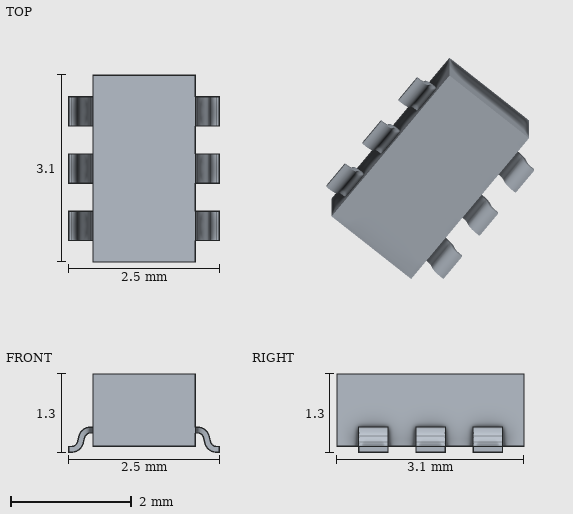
import cadquery as cq
import math

HOUSING_WIDTH = 1.7
HOUSING_LENGTH = 3.1
HOUSING_HEIGHT = 1.2
STANDOFF = 0.1

LEAD_SPAN = 2.5
LEADS_PER_SIDE = 3
LEAD_PITCH = 0.95
LEAD_WIDTH = 0.49
LEAD_THICKNESS = 0.1
LEAD_TOP = 0.42
FOOT_FLAT = 0.05
INNER_RADIUS = 0.1
BEND_ANGLE = math.radians(76)

OUTER_RADIUS = INNER_RADIUS + LEAD_THICKNESS

LEAD_RISE = LEAD_TOP - LEAD_THICKNESS
BEND_RADII = INNER_RADIUS + OUTER_RADIUS
SLOPE_RISE = LEAD_RISE - BEND_RADII * (1 - math.cos(BEND_ANGLE))
LEAD_RUN = BEND_RADII * math.sin(BEND_ANGLE) + SLOPE_RISE / math.tan(BEND_ANGLE)

TOE_X = -LEAD_SPAN / 2
LOWER_BEND_X = TOE_X + FOOT_FLAT
UPPER_BEND_X = LOWER_BEND_X + LEAD_RUN
LOWER_BEND_Z = OUTER_RADIUS
UPPER_BEND_Z = LEAD_TOP - OUTER_RADIUS


def lower_bend_point(radius, angle):
    """Point on the lower bend, angle measured from its start at the foot."""
    return (LOWER_BEND_X + radius * math.sin(angle), LOWER_BEND_Z - radius * math.cos(angle))


def upper_bend_point(radius, angle):
    """Point on the upper bend, angle measured from its end at the shoulder."""
    return (UPPER_BEND_X - radius * math.sin(angle), UPPER_BEND_Z + radius * math.cos(angle))


def make_housing():
    return (
        cq.Workplane("XY")
        .box(HOUSING_WIDTH, HOUSING_LENGTH, HOUSING_HEIGHT, centered=(True, True, False))
        .translate((0, 0, STANDOFF))
    )


def make_left_lead():
    """Lead on the -X side, centred on Y = 0, ending flush on the housing wall."""
    half_angle = BEND_ANGLE / 2
    wall_x = -HOUSING_WIDTH / 2
    return (
        cq.Workplane("XZ")
        .moveTo(TOE_X, 0)
        .lineTo(*lower_bend_point(OUTER_RADIUS, 0))
        .threePointArc(
            lower_bend_point(OUTER_RADIUS, half_angle), lower_bend_point(OUTER_RADIUS, BEND_ANGLE)
        )
        .lineTo(*upper_bend_point(INNER_RADIUS, BEND_ANGLE))
        .threePointArc(
            upper_bend_point(INNER_RADIUS, half_angle), upper_bend_point(INNER_RADIUS, 0)
        )
        .lineTo(wall_x, LEAD_TOP - LEAD_THICKNESS)
        .lineTo(wall_x, LEAD_TOP)
        .lineTo(*upper_bend_point(OUTER_RADIUS, 0))
        .threePointArc(
            upper_bend_point(OUTER_RADIUS, half_angle), upper_bend_point(OUTER_RADIUS, BEND_ANGLE)
        )
        .lineTo(*lower_bend_point(INNER_RADIUS, BEND_ANGLE))
        .threePointArc(
            lower_bend_point(INNER_RADIUS, half_angle), lower_bend_point(INNER_RADIUS, 0)
        )
        .lineTo(TOE_X, LEAD_THICKNESS)
        .close()
        .extrude(LEAD_WIDTH / 2, both=True)
    )


def make_leads():
    left_lead = make_left_lead()
    right_lead = left_lead.mirror("YZ")
    leads = []
    for index in range(LEADS_PER_SIDE):
        lead_y = (index - (LEADS_PER_SIDE - 1) / 2) * LEAD_PITCH
        for lead in (left_lead, right_lead):
            leads.append(lead.translate((0, lead_y, 0)).val())
    return leads


housing = make_housing()
leads = make_leads()
result = cq.Compound.makeCompound([housing.val(), *leads])